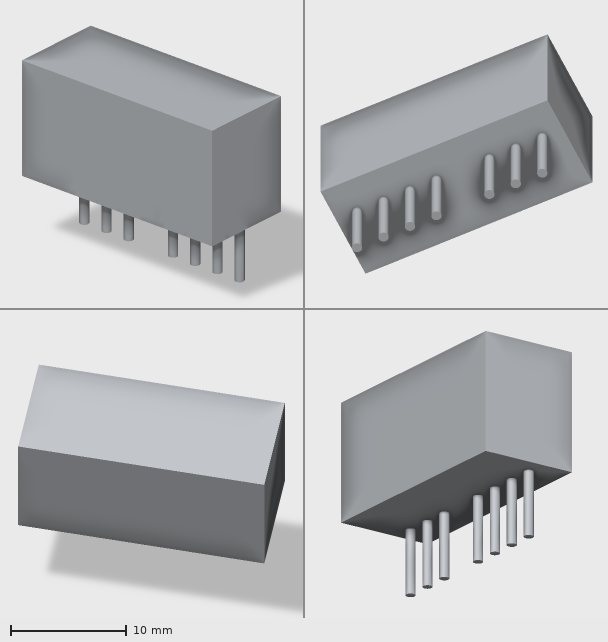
import cadquery as cq

housing_length = 21.8
housing_width = 9.2
overall_height = 17.2
pin_length = 6.05
housing_height = overall_height - pin_length

pin_diameter = 0.9
pin_row_span = 17.78
pin_row_offset = 1.4
pin_positions = 8
empty_position = 3
pin_pitch = pin_row_span / (pin_positions - 1)


def make_housing():
    """Plain block standing on the XY plane."""
    return cq.Workplane("XY").box(
        housing_length, housing_width, housing_height, centered=(True, True, False)
    )


def make_pin(x):
    """Round pin hanging from the underside of the housing."""
    return cq.Workplane("XY").center(x, pin_row_offset).circle(pin_diameter / 2).extrude(-pin_length)


housing = make_housing()

pins = []
for position in range(pin_positions):
    if position != empty_position:
        pins.append(make_pin(position * pin_pitch - pin_row_span / 2))

result = cq.Compound.makeCompound([housing.val(), *[pin.val() for pin in pins]])